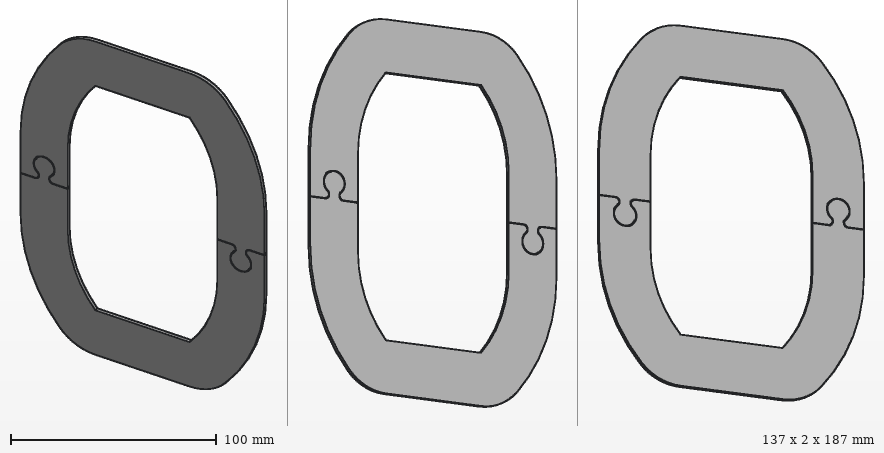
import cadquery as cq
import math

height = 187.0
width = 137.0
thickness = 2.0
wall = 26.5
side_straight_half = 24.7
side_radius = 65.3

clearance = 0.4
knob_radius = 5.8
knob_center_z = 8.5
root_radius = 2.2

opening_half_width = width / 2 - wall
opening_half_height = height / 2 - wall
arc_rise = opening_half_height - side_straight_half
arc_center_x = opening_half_width - side_radius
opening_corner_x = arc_center_x + math.sqrt(side_radius**2 - arc_rise**2)
arc_mid_angle = math.asin(arc_rise / side_radius) / 2
arc_mid_x = arc_center_x + side_radius * math.cos(arc_mid_angle)
arc_mid_z = side_straight_half + side_radius * math.sin(arc_mid_angle)

joint_x = width / 2 - wall / 2
parting_z = -clearance / 2
root_center_x = math.sqrt((knob_radius + root_radius)**2 - (knob_center_z - root_radius)**2)


def opening_outline():
    """Opening with straight top, bottom and sides, joined by arcs tangent to the sides."""
    return (
        cq.Workplane("XZ", origin=(0, thickness / 2, 0))
        .moveTo(-opening_corner_x, opening_half_height)
        .lineTo(opening_corner_x, opening_half_height)
        .threePointArc((arc_mid_x, arc_mid_z), (opening_half_width, side_straight_half))
        .lineTo(opening_half_width, -side_straight_half)
        .threePointArc((arc_mid_x, -arc_mid_z), (opening_corner_x, -opening_half_height))
        .lineTo(-opening_corner_x, -opening_half_height)
        .threePointArc((-arc_mid_x, -arc_mid_z), (-opening_half_width, -side_straight_half))
        .lineTo(-opening_half_width, side_straight_half)
        .threePointArc((-arc_mid_x, arc_mid_z), (-opening_corner_x, opening_half_height))
        .close()
    )


def make_ring():
    """Complete ring: the opening grown by the wall width, rounded at its corners."""
    outer = opening_outline().offset2D(wall, "arc").extrude(thickness)
    return outer.cut(opening_outline().extrude(thickness))


def add_joint(path, center_x, direction, growth):
    """Add a neck and knob to a path running in +X.

    direction is 1 for a knob pointing up and -1 for one pointing down;
    growth enlarges the knob and shrinks the root rounding by the same amount.
    """
    knob = knob_radius + growth
    root = root_radius - growth

    def point(x, z):
        return (center_x + x, direction * z)

    slope = math.atan2(knob_center_z - root_radius, root_center_x)
    touch_x = knob * math.cos(slope)
    touch_z = knob_center_z - knob * math.sin(slope)
    root_mid_angle = (math.pi / 2 - slope) / 2
    root_mid_x = root_center_x - root * math.cos(root_mid_angle)
    root_mid_z = root_radius - root * math.sin(root_mid_angle)
    root_end_z = root_radius - root

    return (
        path.lineTo(*point(-root_center_x, root_end_z))
        .threePointArc(point(-root_mid_x, root_mid_z), point(-touch_x, touch_z))
        .threePointArc(point(0, knob_center_z + knob), point(touch_x, touch_z))
        .threePointArc(point(root_mid_x, root_mid_z), point(root_center_x, root_end_z))
    )


def make_lower_region():
    """Block below the parting line, with a tab at -X and a socket at +X."""
    path = cq.Workplane("XZ", origin=(0, thickness / 2, 0)).moveTo(-width, parting_z)
    path = add_joint(path, -joint_x, 1, -clearance / 2)
    path = add_joint(path, joint_x, -1, clearance / 2)
    return (
        path.lineTo(width, parting_z)
        .lineTo(width, -height)
        .lineTo(-width, -height)
        .close()
        .extrude(thickness)
    )


def make_frame_half(turn):
    """Half of the ring with one tab and one socket, turned about the Y axis."""
    half = make_ring().intersect(make_lower_region())
    return half.rotate((0, 0, 0), (0, 1, 0), turn)


frame_halves = []
for turn in (0, 180):
    frame_halves.append(make_frame_half(turn).solids().val())

result = cq.Compound.makeCompound(frame_halves)